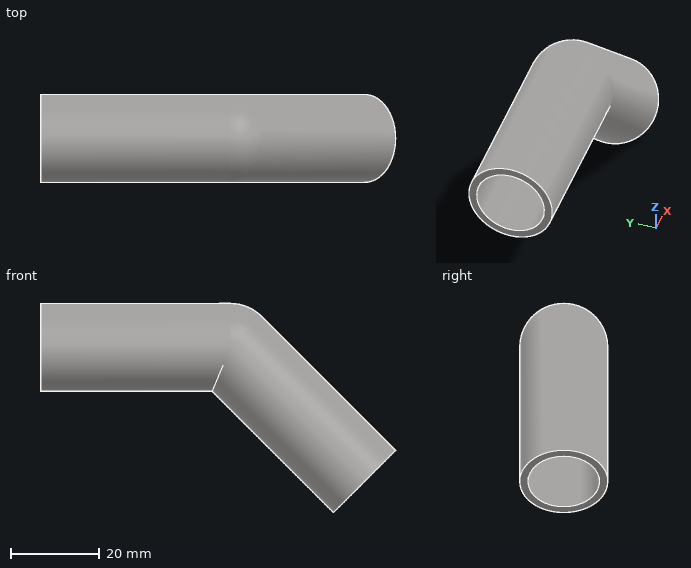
import cadquery as cq
import math

OUTER_DIAMETER = 20.0
BORE_DIAMETER = 16.2
LEG_LENGTH = 43.0
BEND_ANGLE = 45.0

bend = math.radians(BEND_ANGLE)
LEVEL_LEG_DIRECTION = cq.Vector(-1, 0, 0)
SLOPED_LEG_DIRECTION = cq.Vector(math.cos(bend), 0, -math.sin(bend))
ELBOW_CENTRE = cq.Vector(0, 0, 0)


def leg_rod(diameter, direction):
    """Solid cylinder running from the elbow centre to one open end."""
    return cq.Workplane(
        cq.Solid.makeCylinder(diameter / 2, LEG_LENGTH, ELBOW_CENTRE, direction)
    )


def elbow_rod(diameter):
    """Two solid legs joined by a ball of the same diameter at the bend."""
    ball = cq.Workplane("XY").sphere(diameter / 2)
    level_leg = leg_rod(diameter, LEVEL_LEG_DIRECTION)
    sloped_leg = leg_rod(diameter, SLOPED_LEG_DIRECTION)
    return level_leg.union(sloped_leg).union(ball)


result = elbow_rod(OUTER_DIAMETER).cut(elbow_rod(BORE_DIAMETER))